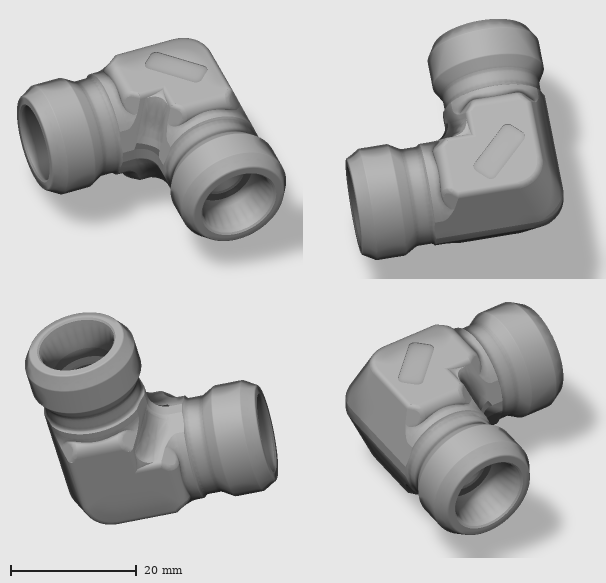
import cadquery as cq
import math


body_half_height = 9.503
body_half_width = 8.23
flat_half_height = 1.02
draft_slope = math.tan(math.radians(20))
top_edge_radius = 1.0
outer_corner_radius = 5.0
inner_corner_radius = 3.0
inner_cap_slope = 0.23

collar_start = 11.9
collar_end = 13.15
collar_radius = 8.3
shoulder_radius = 3.0
cheek_start = 9.52
cheek_radius = 2.05
cheek_root = (9.08, 5.45, 8.77)
cheek_tip = (11.12, 4.18, 8.13)
cheek_foot = (9.93, 6.3, 6.4)

thread_radius = 18.0 / 2
neck_radius = 15.6 / 2
outer_side = 34.0
port_end = outer_side - thread_radius
neck_start = 13.9
body_end = neck_start
thread_start = 18.2
thread_end = 22.8
cone_slope = math.tan(math.radians(30))
end_radius = thread_radius - (port_end - thread_end) * cone_slope
neck_end = thread_start - (thread_radius - neck_radius) / cone_slope
neck_fillet = 0.95
thread_edge_fillet = 0.35

bore_radius = 7.0 / 2
bore_chamfer = 0.27
seat_radius = 10.2 / 2
seat_depth = 7.0
mouth_radius = 6.15
mouth_chamfer = 0.27
seat_slope = math.tan(math.radians(12))
drill_tip_length = bore_radius / math.tan(math.radians(70))

label_length = 9.75
label_width = 4.1
label_corner_radius = 1.02
label_depth = 0.17
label_offset = 1.275

far = 2 * outer_side
on_plane = 0.005


def mirrored_port(shape):
    """The matching -Y shape of a +X port shape."""
    return shape.mirror(cq.Vector(1, 1, 0), (0, 0, 0))


def half_width_at(height):
    """Half width of the drafted body section at a height above the flats."""
    return body_half_width - (height - flat_half_height) * draft_slope


def mitre_edges(solid):
    """Edges in the mirror plane that join the levels of a drafted corner."""
    return [
        edge for edge in solid.edges().vals()
        if abs(edge.Center().x + edge.Center().y) < on_plane
        and abs(edge.Center().z) < body_half_height - on_plane
    ]


def swept_elbow():
    """Drafted section swept round the mitre, with its outer corner and top edges rounded."""
    top_half_width = half_width_at(body_half_height)
    section = [
        (body_half_width, -flat_half_height),
        (body_half_width, flat_half_height),
        (top_half_width, body_half_height),
        (-top_half_width, body_half_height),
        (-body_half_width, flat_half_height),
        (-body_half_width, -flat_half_height),
        (-top_half_width, -body_half_height),
        (top_half_width, -body_half_height),
    ]
    path = cq.Workplane("XY").polyline([(0, -body_end), (0, 0), (body_end, 0)])
    elbow = cq.Workplane("XZ", origin=(0, -body_end, 0)).polyline(section).close()
    elbow = elbow.sweep(path, transition="right")
    outer_corner = [edge for edge in mitre_edges(elbow) if edge.Center().x < 0]
    elbow = elbow.newObject(outer_corner).fillet(outer_corner_radius)
    rims = [
        edge for edge in elbow.faces("|Z").edges().vals()
        if edge.Center().x < body_end - on_plane
        and edge.Center().y > on_plane - body_end
    ]
    return elbow.newObject(rims).fillet(top_edge_radius)


def corner_section(half_width, height):
    """Square outline of the space inside the elbow at one height."""
    return cq.Wire.makePolygon(
        [
            cq.Vector(half_width, -half_width, height),
            cq.Vector(far, -half_width, height),
            cq.Vector(far, -far, height),
            cq.Vector(half_width, -far, height),
        ],
        close=True,
    )


def inner_space():
    """Drafted space inside the elbow, its corner rounded to the inner radius."""
    levels = [-body_half_height, -flat_half_height, flat_half_height, body_half_height]
    outlines = [corner_section(half_width_at(max(abs(z), flat_half_height)), z) for z in levels]
    space = cq.Workplane(cq.Solid.makeLoft(outlines[:2], True))
    for lower, upper in zip(outlines[1:], outlines[2:]):
        space = space.union(cq.Workplane(cq.Solid.makeLoft([lower, upper], True)))
    corner = [edge for edge in mitre_edges(space) if edge.Center().x < far / 2]
    return space.newObject(corner).fillet(inner_corner_radius)


def inner_web():
    """Material that rounds the inner corner; its top and bottom fall away along the diagonal."""
    corner = half_width_at(body_half_height) - top_edge_radius * math.tan(math.radians(35))
    start = corner * math.sqrt(2)
    end = body_end * math.sqrt(2)
    end_height = body_half_height - (end - start) * inner_cap_slope
    profile = [
        (0, -body_half_height),
        (start, -body_half_height),
        (end, -end_height),
        (end, end_height),
        (start, body_half_height),
        (0, body_half_height),
    ]
    diagonal = cq.Plane(origin=(0, 0, 0), xDir=(1, -1, 0), normal=(-1, -1, 0))
    wedge = cq.Workplane(diagonal).polyline(profile).close().extrude(far, both=True)
    quadrant = cq.Workplane("XY").rect(body_end, -body_end, centered=False)
    quadrant = quadrant.extrude(body_half_height, both=True)
    return wedge.intersect(quadrant).cut(inner_space())


def shoulder_cutter():
    """Ring that pares the +X end of the body to a concave flare, the collar and the neck root."""
    rim_radius = collar_radius + shoulder_radius
    flare_mid = (
        collar_start - shoulder_radius * math.sin(math.pi / 4),
        rim_radius - shoulder_radius * math.cos(math.pi / 4),
    )
    step = collar_radius - neck_radius
    run = neck_start - collar_end
    root_radius = (step**2 + run**2) / (2 * step)
    half_angle = math.asin(run / root_radius) / 2
    root_mid = (
        neck_start - root_radius * math.sin(half_angle),
        neck_radius + root_radius * (1 - math.cos(half_angle)),
    )
    profile = cq.Workplane("XY").moveTo(collar_start - shoulder_radius, rim_radius)
    profile = profile.threePointArc(flare_mid, (collar_start, collar_radius))
    profile = profile.lineTo(collar_end, collar_radius)
    profile = profile.threePointArc(root_mid, (neck_start, neck_radius))
    profile = profile.lineTo(neck_start, rim_radius).close()
    return profile.revolve(360, (0, 0, 0), (1, 0, 0))


def beyond_cheek_flank():
    """Half space outside the flank at +Y, +Z of the +X port."""
    root = cq.Vector(*cheek_root)
    to_tip = cq.Vector(*cheek_tip) - root
    to_foot = cq.Vector(*cheek_foot) - root
    flank = cq.Plane(origin=cheek_root, xDir=to_tip, normal=to_tip.cross(to_foot))
    return cq.Workplane(flank).rect(far, far).extrude(far)


def cheeks():
    """Rounded-off ends of the top and bottom faces, standing proud of the flare at +X."""
    roll_end = cheek_start + cheek_radius
    bottom_of_roll = body_half_height - cheek_radius
    roll_mid = (
        cheek_start + cheek_radius * math.sin(math.pi / 4),
        bottom_of_roll + cheek_radius * math.cos(math.pi / 4),
    )
    root_x = collar_start - shoulder_radius
    profile = cq.Workplane("XZ").moveTo(root_x, flat_half_height).lineTo(root_x, body_half_height)
    profile = profile.lineTo(cheek_start, body_half_height)
    profile = profile.threePointArc(roll_mid, (roll_end, bottom_of_roll))
    profile = profile.lineTo(roll_end, flat_half_height).close()
    cheek = profile.extrude(body_half_width, both=True)
    outside = beyond_cheek_flank()
    cheek = cheek.cut(outside).cut(outside.mirror("XZ"))
    rolled_rims = [
        edge for edge in cheek.edges().vals()
        if root_x + on_plane < edge.Center().x < roll_end - on_plane
        and edge.Center().z > bottom_of_roll
        and abs(edge.Center().y) > on_plane
    ]
    cheek = cheek.newObject(rolled_rims).fillet(top_edge_radius)
    return cheek.union(cheek.mirror("XY"))


def forged_body():
    cutter = shoulder_cutter().cut(cheeks())
    body = swept_elbow().union(inner_web())
    return body.cut(cutter).cut(mirrored_port(cutter))


def port_barrel():
    """Neck and coned thread barrel of the +X port."""
    profile = cq.Workplane("XY").lineTo(0, neck_radius)
    profile = profile.lineTo(neck_end, neck_radius).lineTo(thread_start, thread_radius)
    profile = profile.lineTo(thread_end, thread_radius).lineTo(port_end, end_radius)
    profile = profile.lineTo(port_end, 0).close()
    barrel = profile.revolve(360, (0, 0, 0), (1, 0, 0))

    def rims_at(*places):
        return [
            edge for edge in barrel.edges("%CIRCLE").vals()
            if any(abs(edge.Center().x - place) < on_plane for place in places)
        ]

    barrel = barrel.newObject(rims_at(neck_end)).fillet(neck_fillet)
    return barrel.newObject(rims_at(thread_start, thread_end, port_end)).fillet(thread_edge_fillet)


def port_bore():
    """Drilled bore of the +X port with its coned seat and drill tip past the crossing axis."""
    seat_floor = port_end - seat_depth
    cone_end = port_end - mouth_chamfer - (mouth_radius - seat_radius) / seat_slope
    profile = [
        (-drill_tip_length, 0),
        (0, bore_radius),
        (seat_floor - bore_chamfer, bore_radius),
        (seat_floor, bore_radius + bore_chamfer),
        (seat_floor, seat_radius),
        (cone_end, seat_radius),
        (port_end - mouth_chamfer, mouth_radius),
        (port_end, mouth_radius + mouth_chamfer),
        (port_end, 0),
    ]
    return cq.Workplane("XY").polyline(profile).close().revolve(360, (0, 0, 0), (1, 0, 0))


def label_recess():
    floor = cq.Plane(
        origin=(label_offset, -label_offset, body_half_height - label_depth),
        xDir=(1, 1, 0),
        normal=(0, 0, 1),
    )
    recess = cq.Workplane(floor).rect(label_length, label_width).extrude(label_depth)
    return recess.edges("|Z").fillet(label_corner_radius)


barrel = port_barrel()
bore = port_bore()
fitting = forged_body().union(barrel).union(mirrored_port(barrel))
result = fitting.cut(bore).cut(mirrored_port(bore)).cut(label_recess())